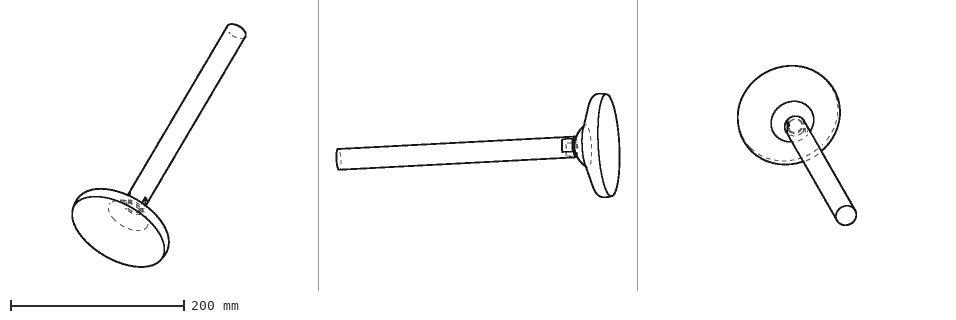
import cadquery as cq
import math

total_length = 319.0

pad_radius = 60.0
base_radius = 59.0
rim_bottom = 5.7
rim_top = 8.5
shoulder_radius = 7.0
cone_angle = math.radians(20)

dome_foot_radius = 25.2
dome_edge_radius = 23.3
dome_edge_height = 28.0
dome_top = 40.0

stem_radius = 12.0
stem_bottom = 39.5
neck_radius = 9.0
neck_bottom = 38.0
across_flats = 18.8
flats_bottom = 40.5
flats_top = 53.0


def make_pad():
    """Revolve the pad profile; local x is the radius, local y the height."""
    shoulder_x = pad_radius - shoulder_radius

    def shoulder_point(angle):
        return (
            shoulder_x + shoulder_radius * math.cos(angle),
            rim_top + shoulder_radius * math.sin(angle),
        )

    arc_end_angle = math.pi / 2 - cone_angle
    cone_outer = shoulder_point(arc_end_angle)
    cone_rise = (cone_outer[0] - dome_foot_radius) * math.tan(cone_angle)

    cap_height = dome_top - dome_edge_height
    sphere_radius = (dome_edge_radius**2 + cap_height**2) / (2 * cap_height)
    mid_angle = math.asin(dome_edge_radius / sphere_radius) / 2
    sphere_center = dome_top - sphere_radius
    dome_middle = (
        sphere_radius * math.sin(mid_angle),
        sphere_center + sphere_radius * math.cos(mid_angle),
    )

    profile = (
        cq.Workplane("XY")
        .lineTo(base_radius, 0)
        .lineTo(pad_radius, rim_bottom)
        .lineTo(pad_radius, rim_top)
        .threePointArc(shoulder_point(arc_end_angle / 2), cone_outer)
        .lineTo(dome_foot_radius, cone_outer[1] + cone_rise)
        .lineTo(dome_edge_radius, dome_edge_height)
        .threePointArc(dome_middle, (0, dome_top))
        .close()
    )
    return profile.revolve(360, (0, 0, 0), (0, 1, 0))


def make_stem():
    """Revolve the stem with its short tapered neck reaching into the dome."""
    neck_taper = stem_bottom - neck_bottom
    return (
        cq.Workplane("XY")
        .moveTo(0, neck_bottom)
        .lineTo(neck_radius - neck_taper, neck_bottom)
        .lineTo(neck_radius, stem_bottom)
        .lineTo(stem_radius, stem_bottom)
        .lineTo(stem_radius, total_length)
        .lineTo(0, total_length)
        .close()
        .revolve(360, (0, 0, 0), (0, 1, 0))
    )


def cut_wrench_flats(stem):
    """Cut two opposite wrench flats facing -X and +X."""
    flats_length = flats_top - flats_bottom
    flats_middle = (flats_top + flats_bottom) / 2
    cutter_width = stem_radius
    cutter_offset = (across_flats + cutter_width) / 2
    for side in (-1, 1):
        cutter = cq.Workplane("XY").box(cutter_width, flats_length, 2 * stem_radius)
        stem = stem.cut(cutter.translate((side * cutter_offset, flats_middle, 0)))
    return stem


result = make_pad().union(cut_wrench_flats(make_stem()))